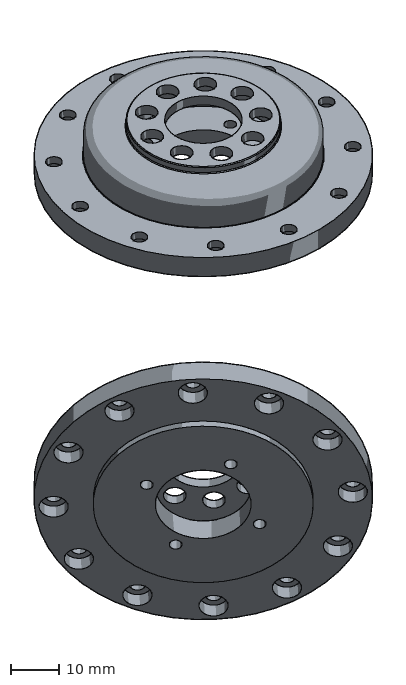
import cadquery as cq

flange_bottom = 1.5
flange_thickness = 5.0
flange_top = flange_bottom + flange_thickness
floor_height = 5.2
cover_top = 13.85
overall_height = 15.5

flange_diameter = 70.0
recess_diameter = 50.0
bolt_circle_diameter = 62.0
bolt_hole_diameter = 3.4
bolt_hole_depth = 1.8
bolt_head_diameter = 6.0
bolt_count = 12

base_diameter = 45.5
base_bore_diameter = 19.8
base_screw_circle_diameter = 26.0
base_screw_hole_diameter = 2.6
base_screw_count = 4

recess_clearance = 0.2
cover_diameter = recess_diameter - 2 * recess_clearance
cover_edge_radius = 2.0
cavity_diameter = 35.7

disc_diameter = 32.0
disc_edge_chamfer = 0.2
disc_wall = 2.3
cavity_top = overall_height - disc_wall
rotor_bore_diameter = 16.0
rotor_hole_circle_diameter = 24.0
rotor_hole_diameter = 4.65
rotor_hole_count = 9
rotor_first_hole_angle = 33.3


def cylinder(diameter, bottom, top):
    """Upright cylinder on the Z axis between two heights."""
    return cq.Workplane("XY").workplane(offset=bottom).circle(diameter / 2).extrude(top - bottom)


def hole_ring(circle_diameter, hole_diameter, count, first_angle=0.0, top=overall_height):
    """Ring of equally spaced cutters rising from the underside of the part to a height."""
    return (
        cq.Workplane("XY")
        .polarArray(circle_diameter / 2, first_angle, 360, count)
        .circle(hole_diameter / 2)
        .extrude(top)
    )


def make_flange():
    """Bolted ring around the base plate, with a shallow recess below the rim of the rotor."""
    flange = cylinder(flange_diameter, flange_bottom, flange_top)
    flange = flange.cut(cylinder(base_diameter, flange_bottom, floor_height))
    flange = flange.cut(cylinder(recess_diameter, floor_height, flange_top))
    flange = flange.cut(hole_ring(bolt_circle_diameter, bolt_hole_diameter, bolt_count))
    counterbore_top = flange_top - bolt_hole_depth
    return flange.cut(
        hole_ring(bolt_circle_diameter, bolt_head_diameter, bolt_count, top=counterbore_top)
    )


def make_base():
    """Plate that closes the flange from below, with a central bore and screw holes."""
    base = cylinder(base_diameter, 0, floor_height)
    base = base.cut(cylinder(base_bore_diameter, 0, floor_height))
    return base.cut(hole_ring(base_screw_circle_diameter, base_screw_hole_diameter, base_screw_count))


def make_rotor():
    """Hollow round-edged cover with a raised disc on top and a skirt that stands on the base plate."""
    skirt = cylinder(base_diameter, floor_height, flange_top)
    cover = cylinder(cover_diameter, flange_top, cover_top).faces(">Z").edges().fillet(cover_edge_radius)
    foot_top = cover_top + disc_edge_chamfer
    disc_profile = [
        (0, cover_top),
        (disc_diameter / 2 + disc_edge_chamfer, cover_top),
        (disc_diameter / 2, foot_top),
        (disc_diameter / 2, overall_height - disc_edge_chamfer),
        (disc_diameter / 2 - disc_edge_chamfer, overall_height),
        (0, overall_height),
    ]
    disc = cq.Workplane("XZ").polyline(disc_profile).close().revolve(360, (0, 0), (0, 1))
    rotor = skirt.union(cover).union(disc)
    rotor = rotor.cut(cylinder(cavity_diameter, floor_height, cavity_top))
    rotor = rotor.cut(cylinder(rotor_bore_diameter, cavity_top, overall_height))
    return rotor.cut(
        hole_ring(rotor_hole_circle_diameter, rotor_hole_diameter, rotor_hole_count, rotor_first_hole_angle)
    )


flange = make_flange()
base = make_base()
rotor = make_rotor()

result = cq.Compound.makeCompound([flange.val(), base.val(), rotor.val()])